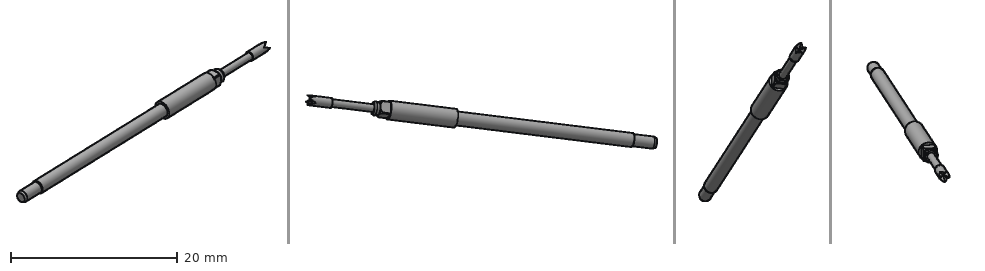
import cadquery as cq
import math

total_length = 44.3

head_length = 3.0
shaft_length = 5.3
collar_front_taper = 0.25
collar_rear_taper = 0.45
square_length = 1.3
body_length = 8.45
tail_length = 2.92
sleeve_length = (
    total_length - head_length - shaft_length - collar_front_taper - collar_rear_taper
    - square_length - body_length - tail_length
)

head_diameter = 1.25
shaft_diameter = 0.97
collar_end_diameter = 1.45
collar_diameter = 1.75
body_diameter = 2.3
sleeve_diameter = 1.73
tail_diameter = 1.5

square_width = 1.65
square_corner_diameter = 2.15
square_corner_chamfer = 0.2

sleeve_chamfer = 0.1
tail_chamfer_length = 0.35
tail_chamfer_depth = 0.15

tooth_count = 4
groove_depth = 0.9

tip_y = total_length / 2
head_base_y = tip_y - head_length
collar_front_y = head_base_y - shaft_length
collar_peak_y = collar_front_y - collar_front_taper
square_front_y = collar_peak_y - collar_rear_taper
body_front_y = square_front_y - square_length
sleeve_front_y = body_front_y - body_length
tail_front_y = sleeve_front_y - sleeve_length
tail_end_y = tail_front_y - tail_length


def turned_section(stations):
    """Solid of revolution about Y through (diameter, y) stations."""
    outline = [(y, diameter / 2) for diameter, y in stations]
    axis_points = [(stations[-1][1], 0), (stations[0][1], 0)]
    profile = cq.Workplane("YZ").polyline(outline + axis_points).close()
    return profile.revolve(360, (0, 0, 0), (1, 0, 0))


def make_plunger():
    """Crown head blank, thin shaft and double-tapered collar."""
    return turned_section([
        (head_diameter, tip_y),
        (head_diameter, head_base_y),
        (shaft_diameter, head_base_y),
        (shaft_diameter, collar_front_y),
        (collar_end_diameter, collar_front_y),
        (collar_diameter, collar_peak_y),
        (collar_end_diameter, square_front_y),
    ])


def make_square():
    """Square section whose corners are turned round and chamfered at the front."""
    envelope = turned_section([
        (square_corner_diameter - 2 * square_corner_chamfer, square_front_y),
        (square_corner_diameter, square_front_y - square_corner_chamfer),
        (square_corner_diameter, body_front_y),
    ])
    block = cq.Workplane("XY").box(square_width, square_length, square_width)
    return envelope.intersect(block.translate((0, (square_front_y + body_front_y) / 2, 0)))


def make_barrel():
    """Thick body, long sleeve with a broken edge, and chamfered tail."""
    return turned_section([
        (body_diameter, body_front_y),
        (body_diameter, sleeve_front_y),
        (sleeve_diameter, sleeve_front_y),
        (sleeve_diameter, tail_front_y + sleeve_chamfer),
        (sleeve_diameter - 2 * sleeve_chamfer, tail_front_y),
        (tail_diameter, tail_front_y),
        (tail_diameter, tail_end_y + tail_chamfer_length),
        (tail_diameter - 2 * tail_chamfer_depth, tail_end_y),
    ])


def make_crown_groove(angle):
    """V groove across the tip, turned about Y; side by side they leave teeth pointed at the rim."""
    half_width = head_diameter / 2 * math.sin(math.pi / tooth_count)
    groove = (
        cq.Workplane("XY")
        .moveTo(-half_width, tip_y)
        .lineTo(0, tip_y - groove_depth)
        .lineTo(half_width, tip_y)
        .close()
        .extrude(head_diameter, both=True)
    )
    return groove.rotate((0, 0, 0), (0, 1, 0), angle)


result = make_plunger().union(make_square()).union(make_barrel())
tooth_pitch = 360 / tooth_count
for groove_index in range(tooth_count // 2):
    result = result.cut(make_crown_groove((groove_index + 0.5) * tooth_pitch))